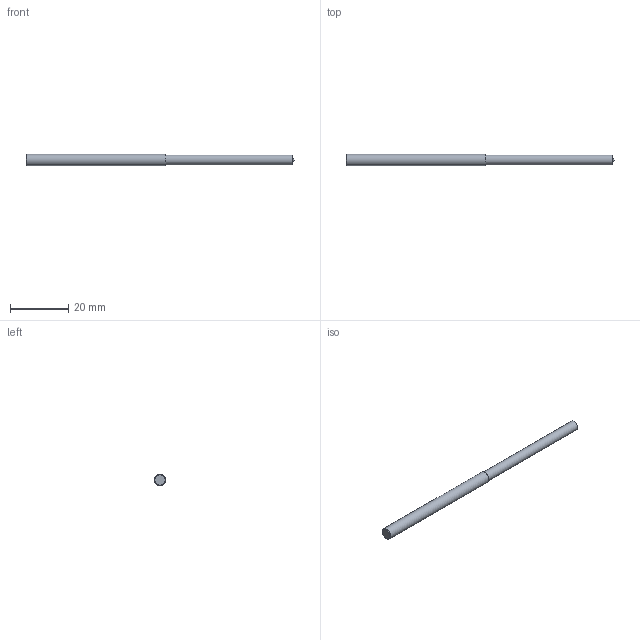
import cadquery as cq
import math

overall_length = 92.0
shank_diameter = 4.0
shank_length = 48.0
shank_chamfer = 0.25
cutting_diameter = 3.4
point_angle = 140.0

shank_radius = shank_diameter / 2
cutting_radius = cutting_diameter / 2
tip_length = cutting_radius / math.tan(math.radians(point_angle / 2))


def drill_blank():
    """Revolve the half profile of shank, cutting section and tip about the X axis."""
    half_profile = (
        cq.Workplane("XY")
        .moveTo(0, 0)
        .lineTo(0, shank_radius - shank_chamfer)
        .lineTo(shank_chamfer, shank_radius)
        .lineTo(shank_length, shank_radius)
        .lineTo(shank_length, cutting_radius)
        .lineTo(overall_length - tip_length, cutting_radius)
        .lineTo(overall_length, 0)
        .close()
    )
    return half_profile.revolve(360, (0, 0, 0), (1, 0, 0))


result = drill_blank()